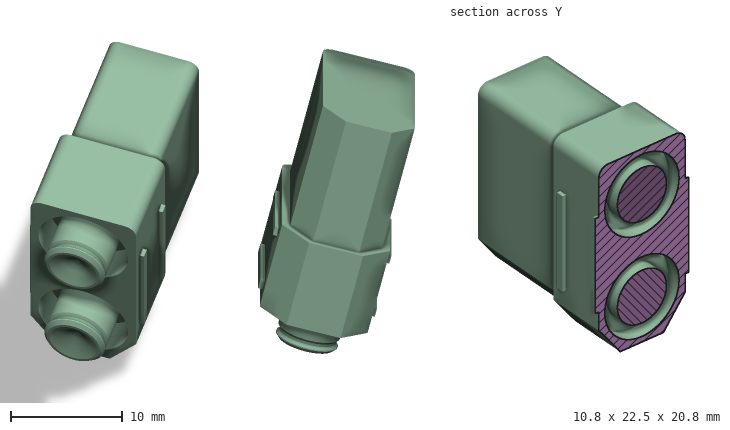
import cadquery as cq
import math


total_length = 22.5

shroud_width = 10.0
shroud_height = 20.8
shroud_length = 8.0
bottom_flat_width = 5.0
bottom_chamfer_height = 3.3
top_corner_radius = 1.1

rear_step = 0.75

rib_projection = 0.4
rib_thickness = 0.8
rib_height = 10.25
rib_pitch = 5.2

socket_diameter = 8.5
socket_depth = 3.1
socket_spacing = 11.0

pin_protrusion = 2.8
pin_radius = 2.85
tip_chamfer = 0.34
ridge_width = 0.11
groove_depth = 0.25
groove_floor_width = 0.25
tip_cone_radius = 2.25
tip_cone_half_angle = 60.0

pin_tip_y = 0.0
shroud_front_y = pin_tip_y + pin_protrusion
shroud_back_y = shroud_front_y + shroud_length
rear_length = total_length - pin_protrusion - shroud_length
socket_floor_y = shroud_front_y + socket_depth
socket_centres_z = (-socket_spacing / 2, socket_spacing / 2)


def outline(start_y):
    """Closed XZ outline at start_y: a rectangle with its two bottom corners cut off."""
    side_x = shroud_width / 2
    top_z = shroud_height / 2
    bottom_x = bottom_flat_width / 2
    shoulder_z = bottom_chamfer_height - top_z
    return cq.Workplane("XZ", origin=(0, start_y, 0)).polyline(
        [
            (-bottom_x, -top_z),
            (bottom_x, -top_z),
            (side_x, shoulder_z),
            (side_x, top_z),
            (-side_x, top_z),
            (-side_x, shoulder_z),
        ]
    ).close()


def round_top_corners(block):
    """Round the two upper edges that run along Y."""
    return block.edges("|Y").edges(">Z").fillet(top_corner_radius)


def make_ribs():
    """Flat bars across the shroud; only their ends stand out of its side faces."""
    shroud_middle_y = shroud_front_y + shroud_length / 2
    rib_span = shroud_width + 2 * rib_projection
    return (
        cq.Workplane("XY", origin=(0, shroud_middle_y, 0))
        .pushPoints([(0, -rib_pitch / 2), (0, rib_pitch / 2)])
        .box(rib_span, rib_thickness, rib_height)
    )


def make_housing():
    """Shroud, rear block and ribs in one body, with a round socket for each pin."""
    shroud = round_top_corners(outline(shroud_front_y).extrude(-shroud_length))
    rear = round_top_corners(
        outline(shroud_back_y).offset2D(-rear_step, "intersection").extrude(-rear_length)
    )
    sockets = (
        cq.Workplane("XZ", origin=(0, shroud_front_y, 0))
        .pushPoints([(0, z) for z in socket_centres_z])
        .circle(socket_diameter / 2)
        .extrude(-socket_depth)
    )
    return shroud.union(rear).union(make_ribs()).cut(sockets).solids()


def make_pin(centre_z):
    """Round pin standing on its socket floor, with a grooved rim and a conical tip recess."""
    cone_depth = tip_cone_radius / math.tan(math.radians(tip_cone_half_angle))
    groove_radius = pin_radius - groove_depth
    ridge_back_y = pin_tip_y + tip_chamfer + ridge_width
    groove_floor_front_y = ridge_back_y + groove_depth
    groove_floor_back_y = groove_floor_front_y + groove_floor_width
    groove_back_y = groove_floor_back_y + groove_depth
    half_section = cq.Workplane("XY").polyline(
        [
            (0, pin_tip_y + cone_depth),
            (tip_cone_radius, pin_tip_y),
            (pin_radius - tip_chamfer, pin_tip_y),
            (pin_radius, pin_tip_y + tip_chamfer),
            (pin_radius, ridge_back_y),
            (groove_radius, groove_floor_front_y),
            (groove_radius, groove_floor_back_y),
            (pin_radius, groove_back_y),
            (pin_radius, socket_floor_y),
            (0, socket_floor_y),
        ]
    ).close()
    pin = half_section.revolve(360, (0, 0, 0), (0, 1, 0))
    return pin.translate((0, 0, centre_z))


housing = make_housing()
pins = [make_pin(centre_z) for centre_z in socket_centres_z]

result = cq.Compound.makeCompound([housing.val(), *[pin.val() for pin in pins]])